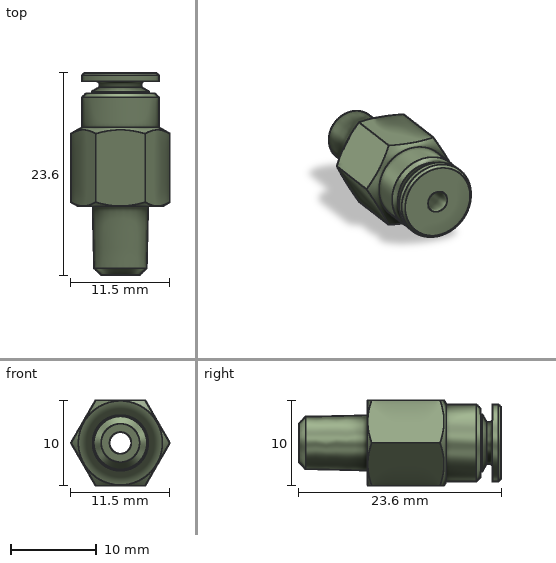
import cadquery as cq
import math

total_length = 23.6
across_flats = 10.0
bore_radius = 1.25

tip_radius = 2.25
tip_chamfer_length = 0.8
stud_small_radius = 3.1
stud_large_radius = 3.25

hex_start = 8.0
hex_end = 17.22
corner_chamfer_angle = math.radians(30)
hex_front_face_radius = 4.9

sleeve_radius = 4.5
sleeve_end = 21.2
sleeve_chamfer = 0.5

cone_large_radius = 3.37
cone_start = 21.4
cone_end = 21.92
neck_radius = 2.48
cap_start = 22.58
neck_fillet_radius = 0.28
cap_chamfer = 0.3


def revolve_about_y(points):
    """Revolve a closed (radius, y) outline about the Y axis."""
    return cq.Workplane("XY").polyline(points).close().revolve(360, (0, 0, 0), (0, 1, 0))


def make_round_sections():
    """Stud, sleeve and release button as one turned body."""
    return revolve_about_y([
        (0, 0),
        (tip_radius, 0),
        (stud_small_radius, tip_chamfer_length),
        (stud_large_radius, hex_start),
        (sleeve_radius, hex_start),
        (sleeve_radius, sleeve_end - sleeve_chamfer),
        (sleeve_radius - sleeve_chamfer, sleeve_end),
        (cone_large_radius, sleeve_end),
        (cone_large_radius, cone_start),
        (neck_radius, cone_end),
        (neck_radius, cap_start),
        (sleeve_radius, cap_start),
        (sleeve_radius, total_length - cap_chamfer),
        (sleeve_radius - cap_chamfer, total_length),
        (0, total_length),
    ])


def make_hex_body():
    """Hexagonal prism with corners on X, turned down at both ends."""
    corner_radius = across_flats / math.sqrt(3)
    slope = math.tan(corner_chamfer_angle)
    front_drop = (corner_radius - hex_front_face_radius) * slope
    back_drop = (corner_radius - sleeve_radius) * slope
    prism = (
        cq.Workplane("XZ", origin=(0, hex_start, 0))
        .polygon(6, 2 * corner_radius)
        .extrude(hex_start - hex_end)
    )
    turned_envelope = revolve_about_y([
        (0, hex_start),
        (hex_front_face_radius, hex_start),
        (corner_radius, hex_start + front_drop),
        (corner_radius, hex_end - back_drop),
        (sleeve_radius, hex_end),
        (0, hex_end),
    ])
    return prism.intersect(turned_envelope)


def make_bore():
    """Straight passage through the whole length."""
    return cq.Workplane("XZ").circle(bore_radius).extrude(-total_length)


def make_neck_fillet():
    """Concave collar blending the neck into the underside of the cap."""
    outer_radius = neck_radius + neck_fillet_radius
    fillet_start = cap_start - neck_fillet_radius
    arc_offset = neck_fillet_radius * math.sin(math.radians(45))
    return (
        cq.Workplane("XY")
        .moveTo(0, fillet_start)
        .lineTo(neck_radius, fillet_start)
        .threePointArc(
            (outer_radius - arc_offset, fillet_start + arc_offset),
            (outer_radius, cap_start),
        )
        .lineTo(0, cap_start)
        .close()
        .revolve(360, (0, 0, 0), (0, 1, 0))
    )


turned_body = make_round_sections().union(make_neck_fillet())
result = turned_body.union(make_hex_body()).cut(make_bore())